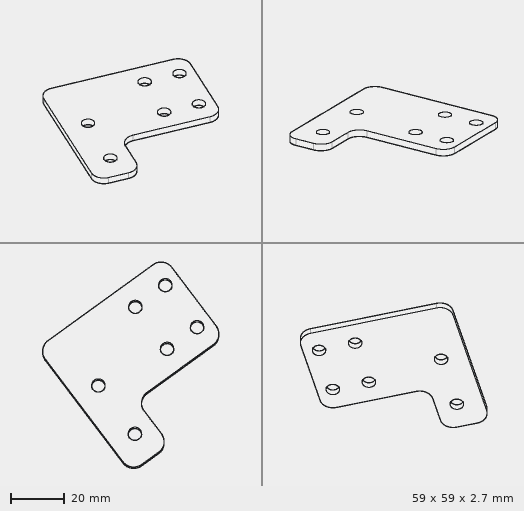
import cadquery as cq

side = 59.0
thickness = 2.7
corner_radius = 5.0

upright_width = 38.0
foot_depth = 18.0

hole_diameter = 5.0
upright_hole_left = 9.0
upright_hole_spacing_x = 20.0
upright_hole_back_margin = 6.0
upright_hole_spacing_y = 14.0
foot_hole_left = 25.0
foot_hole_spacing = 23.0
foot_hole_y = 10.0


def l_plate():
    """L-shaped plate with all six upright edges rounded."""
    outline = [
        (0, 0),
        (side, 0),
        (side, foot_depth),
        (upright_width, foot_depth),
        (upright_width, side),
        (0, side),
    ]
    plate = cq.Workplane("XY").polyline(outline).close().extrude(thickness)
    return plate.edges("|Z").fillet(corner_radius)


def hole_centres():
    """Four holes at the back of the upright arm and two along the foot."""
    back_row_y = side - upright_hole_back_margin
    upright_holes = [
        (upright_hole_left + column * upright_hole_spacing_x, back_row_y - row * upright_hole_spacing_y)
        for column in range(2)
        for row in range(2)
    ]
    foot_holes = [(foot_hole_left + i * foot_hole_spacing, foot_hole_y) for i in range(2)]
    return upright_holes + foot_holes


holes = cq.Workplane("XY").pushPoints(hole_centres()).circle(hole_diameter / 2).extrude(thickness)
result = l_plate().cut(holes)